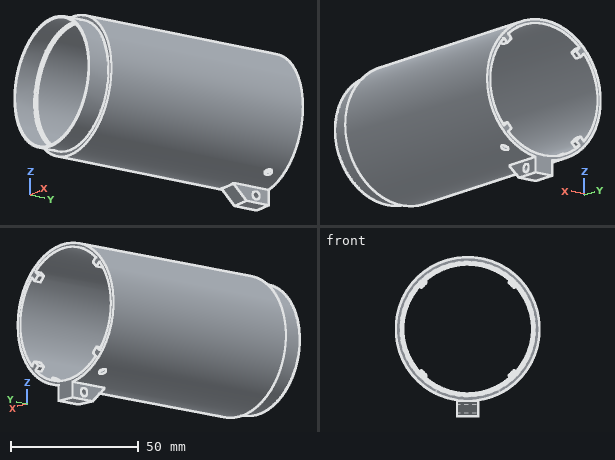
import cadquery as cq

length = 99.8
outer_radius = 28.2
bore_radius = 26.6
front_y = -length / 2
rear_y = length / 2

spigot_length = 9.2
spigot_radius = 26.2
spigot_bore_radius = 25.7

lip_radius = 25.2
lip_length = 1.0

lug_width = 8.4
lug_drop = 34.2
lug_bottom_length = 10.6
lug_top_length = 16.7
lug_hole_diameter = 3.3
lug_hole_inset = 6.0
lug_hole_drop = 31.2

wall_hole_diameter = 3.0
wall_hole_inset = 6.9
wall_hole_angle = 30.0

catch_count = 4
catch_width = 3.0
catch_length = 3.0
catch_radius = 24.3
catch_embed = 0.8


def cylinder(radius, start_y, depth):
    """Cylinder on the tube axis, from start_y toward the rear."""
    return cq.Workplane("XZ", origin=(0, start_y, 0)).circle(radius).extrude(-depth)


def make_lug():
    """Lug with a sloping front face, rising into the tube wall."""
    root_z = -(outer_radius + bore_radius) / 2
    lug = (
        cq.Workplane("YZ")
        .moveTo(rear_y, root_z)
        .lineTo(rear_y, -lug_drop)
        .lineTo(rear_y - lug_bottom_length, -lug_drop)
        .lineTo(rear_y - lug_top_length, -outer_radius)
        .lineTo(rear_y - lug_top_length, root_z)
        .close()
        .extrude(lug_width / 2, both=True)
    )
    hole = (
        cq.Workplane("YZ")
        .center(rear_y - lug_hole_inset, -lug_hole_drop)
        .circle(lug_hole_diameter / 2)
        .extrude(lug_width, both=True)
    )
    return lug.cut(hole)


def make_wall_hole(angle):
    """Radial drill through the wall, turned by angle from straight down."""
    drill = (
        cq.Workplane("XY", origin=(0, rear_y - wall_hole_inset, 0))
        .circle(wall_hole_diameter / 2)
        .extrude(-length / 2)
    )
    return drill.rotate((0, 0, 0), (0, 1, 0), angle)


def make_catch(angle):
    """Block standing in from the bore at the rear end."""
    height = bore_radius + catch_embed - catch_radius
    block = cq.Workplane("XY").box(catch_width, catch_length, height, centered=(True, False, False))
    block = block.translate((0, rear_y - catch_length, catch_radius))
    return block.rotate((0, 0, 0), (0, 1, 0), angle)


shoulder_y = front_y + spigot_length
main_bore_y = shoulder_y + lip_length

result = cylinder(outer_radius, shoulder_y, rear_y - shoulder_y)
result = result.union(cylinder(spigot_radius, front_y, length))
result = result.union(make_lug())

result = result.cut(cylinder(spigot_bore_radius, front_y, spigot_length))
result = result.cut(cylinder(lip_radius, shoulder_y, lip_length))
result = result.cut(cylinder(bore_radius, main_bore_y, rear_y - main_bore_y))

for side in (-1, 1):
    result = result.cut(make_wall_hole(side * wall_hole_angle))

for index in range(catch_count):
    result = result.union(make_catch((index + 0.5) * 360 / catch_count))